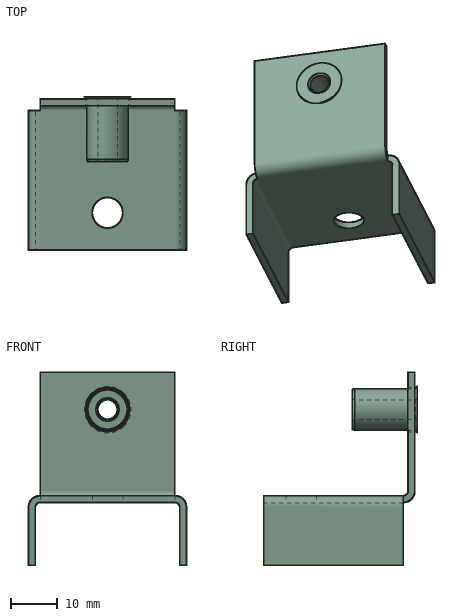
import cadquery as cq

width = 34.0
height = 41.5
thickness = 1.5
inner_bend = 1.0
outer_bend = inner_bend + thickness
deck_top = 15.0
channel_length = 30.0
deck_bottom = deck_top - thickness
deck_width = width - 2 * outer_bend
upright_back = channel_length + outer_bend
upright_front = upright_back - thickness
deck_hole_diameter = 6.5
deck_hole_y = 8.0

bush_z = 33.5
bush_diameter = 9.0
bush_length = 14.0
bush_bore = 4.15
bore_mouth = 5.0
mouth_depth = (bore_mouth - bush_bore) / 2
nose_length = 0.5
nose_inset = 0.3
rim_thickness = 0.5
rim_diameter = 10.0
clearance_diameter = 9.5
bush_back = upright_back + rim_thickness
bush_front = bush_back - bush_length


def bend(plane, centre, corner_sign, length):
    """Quarter ring of sheet around centre, filling the quadrant given by corner_sign."""
    ring = (
        cq.Workplane(plane)
        .center(*centre)
        .circle(outer_bend)
        .circle(inner_bend)
        .extrude(length)
    )
    sign_u, sign_v = corner_sign
    quadrant = (
        cq.Workplane(plane)
        .center(centre[0] + sign_u * outer_bend / 2, centre[1] + sign_v * outer_bend / 2)
        .rect(outer_bend, outer_bend)
        .extrude(length)
    )
    return ring.intersect(quadrant)


def make_channel():
    """Flat deck with a bent-down leg along each side."""
    deck = cq.Workplane("XY").box(deck_width, channel_length, thickness, centered=(True, False, False))
    channel = deck.translate((0, 0, deck_bottom))
    bend_z = deck_top - outer_bend
    for side in (-1, 1):
        leg_x = side * (width - thickness) / 2
        leg = cq.Workplane("XY").box(thickness, channel_length, bend_z, centered=(True, False, False))
        corner = bend("XZ", (side * deck_width / 2, bend_z), (side, 1), -channel_length)
        channel = channel.union(leg.translate((leg_x, 0, 0))).union(corner)
    return channel


def make_upright():
    """Plate bent up from the rear edge of the deck."""
    bend_z = deck_bottom + outer_bend
    plate = cq.Workplane("XY").box(deck_width, thickness, height - bend_z, centered=(True, False, False))
    corner = bend("YZ", (channel_length, bend_z), (1, -1), deck_width)
    corner = corner.translate((-deck_width / 2, 0, 0))
    return plate.translate((0, upright_front, bend_z)).union(corner)


def make_bracket():
    """Channel and upright in one sheet, with the deck hole and the clearance hole for the bush."""
    deck_hole = (
        cq.Workplane("XY", origin=(0, deck_hole_y, deck_bottom))
        .circle(deck_hole_diameter / 2)
        .extrude(thickness)
    )
    bush_hole = (
        cq.Workplane("XZ", origin=(0, upright_front, bush_z))
        .circle(clearance_diameter / 2)
        .extrude(-thickness)
    )
    return make_channel().union(make_upright()).cut(deck_hole).cut(bush_hole)


def make_bush():
    """Turned bush: half-profile of radius against Y, revolved about its own axis."""
    bore_radius = bush_bore / 2
    mouth_radius = bore_mouth / 2
    radius = bush_diameter / 2
    profile = [
        (mouth_radius, bush_front),
        (radius - nose_inset, bush_front),
        (radius, bush_front + nose_length),
        (radius, upright_back),
        (rim_diameter / 2, bush_back),
        (mouth_radius, bush_back),
        (bore_radius, bush_back - mouth_depth),
        (bore_radius, bush_front + mouth_depth),
    ]
    bush = cq.Workplane("XY").polyline(profile).close().revolve(360, (0, 0), (0, 1))
    return bush.translate((0, 0, bush_z))


bracket = make_bracket()
bush = make_bush()
result = cq.Compound.makeCompound([bracket.val(), bush.val()])